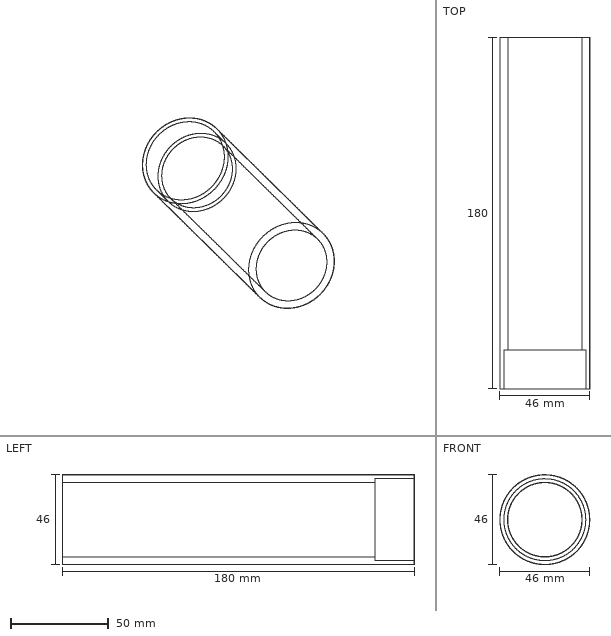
import cadquery as cq

length = 180.0
outer_diameter = 46.0
bore_diameter = 38.0
socket_diameter = 42.0
socket_depth = 20.0


def cylinder_along_y(diameter, depth):
    """Cylinder from the -Y end face of the tube, running toward +Y."""
    end_face = cq.Workplane("XZ", origin=(0, -length / 2, 0))
    return end_face.circle(diameter / 2).extrude(-depth)


tube = cylinder_along_y(outer_diameter, length)
bore = cylinder_along_y(bore_diameter, length)
socket = cylinder_along_y(socket_diameter, socket_depth)

result = tube.cut(bore).cut(socket)